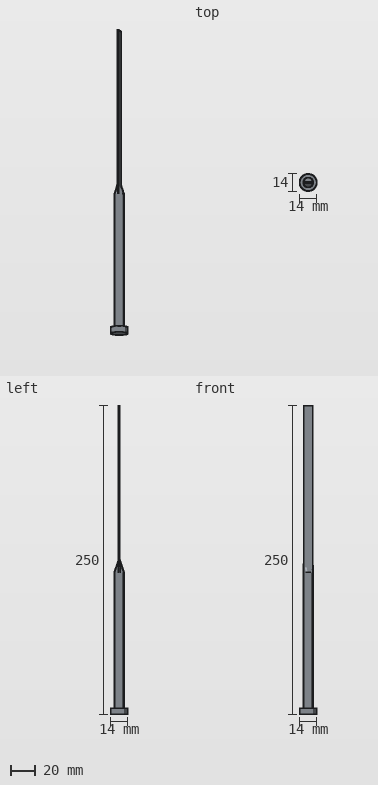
import cadquery as cq

total_height = 250.0
head_height = 5.0
shaft_top = 115.0
blade_bottom = 125.0

head_diameter = 14.0
shaft_diameter = 8.0
blade_width = 7.5
blade_thickness = 1.2


def round_section(diameter, bottom, top):
    """Cylinder on the Z axis between two heights."""
    return cq.Workplane("XY").workplane(offset=bottom).circle(diameter / 2).extrude(top - bottom)


def transition():
    """Taper from the round shaft to the flat blade."""
    return (
        cq.Workplane("XY")
        .workplane(offset=shaft_top)
        .circle(shaft_diameter / 2)
        .workplane(offset=blade_bottom - shaft_top)
        .rect(blade_width, blade_thickness)
        .loft(ruled=True, combine=True)
    )


def blade():
    """Long flat blade, wide along X and thin along Y."""
    return (
        cq.Workplane("XY")
        .workplane(offset=blade_bottom)
        .rect(blade_width, blade_thickness)
        .extrude(total_height - blade_bottom)
    )


head = round_section(head_diameter, 0, head_height)
shaft = round_section(shaft_diameter, head_height, shaft_top)

result = head.union(shaft).union(transition()).union(blade())